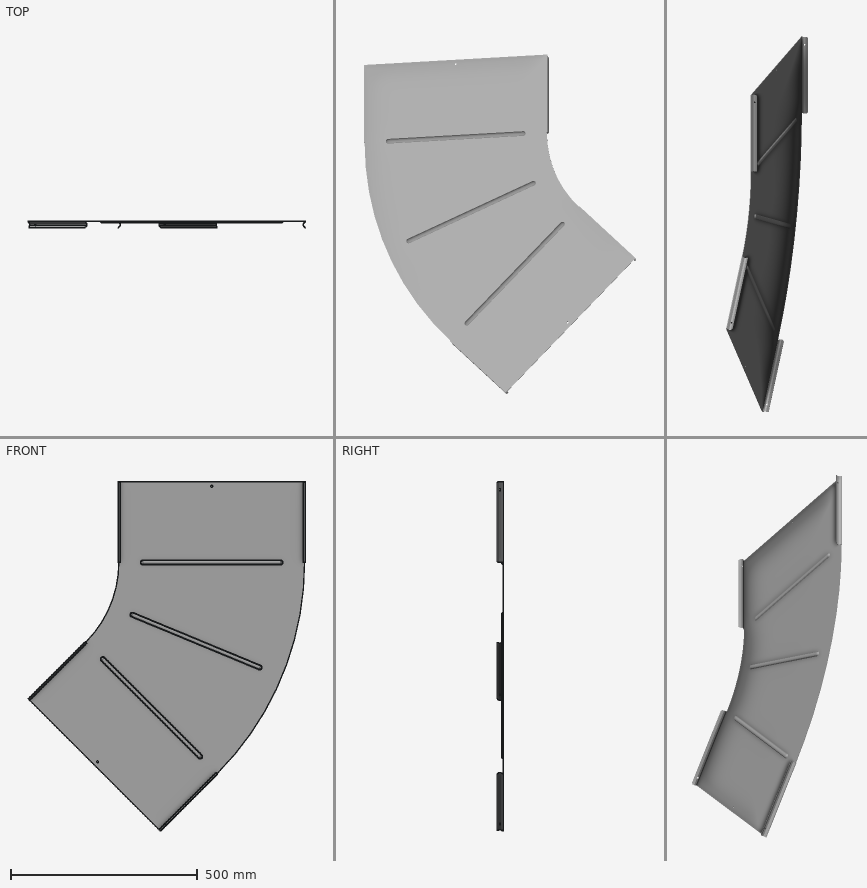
import cadquery as cq
import math


TOTAL_HEIGHT = 937.0
SHEET = 1.4
BEND_ANGLE = 45.0
WIDTH = 502.0
INNER_RADIUS = 300.0
OUTER_RADIUS = INNER_RADIUS + WIDTH
MID_RADIUS = INNER_RADIUS + WIDTH / 2
BEND_SINE = math.sin(math.radians(BEND_ANGLE))
ARM_LENGTH = (TOTAL_HEIGHT - OUTER_RADIUS * BEND_SINE) / (1 + BEND_SINE)
EDGE_RELIEF = 2.0

FLANGE_DEPTH = 18.0
WALL_DEPTH = 2.0
TIP_START = 7.5
TIP_END = 12.0
TIP_INSET = 7.0
LIP_CORNER = 3.0
CLIP_HOLE_DIAMETER = 5.0
CLIP_HOLE_FROM_END = 22.0

BEAD_LENGTH = 382.0
BEAD_WIDTH = 13.0
BEAD_HEIGHT = 4.2
CROWN_WIDTH = 9.0
FLANK_HEIGHT = 3.0
BEAD_COUNT = 3

HOLE_DIAMETER = 5.0
HOLE_FROM_END = 12.0


def front_plane(y):
    """Sketch plane at the given Y, facing -Y, with local axes along X and Z."""
    return cq.Workplane("XZ", origin=(0, y, 0))


def curved_sheet():
    """Ring sector between the two straight arms."""
    inner = INNER_RADIUS + EDGE_RELIEF
    outer = OUTER_RADIUS - EDGE_RELIEF

    def at(radius, angle):
        return radius * math.cos(math.radians(angle)), -radius * math.sin(math.radians(angle))

    return (
        front_plane(0)
        .moveTo(*at(inner, 0))
        .lineTo(*at(outer, 0))
        .threePointArc(at(outer, BEND_ANGLE / 2), at(outer, BEND_ANGLE))
        .lineTo(*at(inner, BEND_ANGLE))
        .threePointArc(at(inner, BEND_ANGLE / 2), at(inner, 0))
        .close()
        .extrude(SHEET)
    )


def clip_flange(edge_x, inward):
    """Folded strip along one straight edge; inward is the X sign towards the sheet."""
    tip_x = edge_x + inward * TIP_INSET
    face = [
        (edge_x, 0),
        (edge_x, -WALL_DEPTH),
        (tip_x - inward * SHEET, -TIP_START),
        (tip_x - inward * SHEET, -TIP_END),
        (edge_x, -FLANGE_DEPTH),
    ]
    other_face = [(x + inward * SHEET, y) for x, y in reversed(face)]
    strip = cq.Workplane("XY").polyline(face + other_face).close().extrude(ARM_LENGTH)

    trimmed_blank = (
        cq.Workplane("YZ", origin=(edge_x, 0, 0))
        .polyline([
            (0, 0),
            (-FLANGE_DEPTH + LIP_CORNER, 0),
            (-FLANGE_DEPTH, LIP_CORNER),
            (-FLANGE_DEPTH, ARM_LENGTH - LIP_CORNER),
            (-FLANGE_DEPTH + LIP_CORNER, ARM_LENGTH),
            (0, ARM_LENGTH),
        ])
        .close()
        .extrude(inward * TIP_INSET)
    )
    hole_depth = -(TIP_START + TIP_END) / 2
    hole = (
        cq.Workplane("YZ", origin=(edge_x, hole_depth, ARM_LENGTH - CLIP_HOLE_FROM_END))
        .circle(CLIP_HOLE_DIAMETER / 2)
        .extrude(inward * TIP_INSET)
    )
    return strip.intersect(trimmed_blank).cut(hole)


def straight_arm():
    """Straight end of the cover with both flanges and the fixing hole."""
    sheet = (
        front_plane(0)
        .center(MID_RADIUS, ARM_LENGTH / 2)
        .rect(WIDTH, ARM_LENGTH)
        .extrude(SHEET)
    )
    hole = (
        front_plane(0)
        .center(MID_RADIUS, ARM_LENGTH - HOLE_FROM_END)
        .circle(HOLE_DIAMETER / 2)
        .extrude(SHEET)
    )
    inner_flange = clip_flange(INNER_RADIUS, 1)
    outer_flange = clip_flange(OUTER_RADIUS, -1)
    return sheet.cut(hole).union(inner_flange).union(outer_flange)


def bead_body(base_y):
    """Solid bead rising towards -Y from base_y, on the upper end of the bend."""
    half_width = BEAD_WIDTH / 2
    half_crown = CROWN_WIDTH / 2
    crown_rise = BEAD_HEIGHT - FLANK_HEIGHT
    crown_radius = (half_crown**2 + crown_rise**2) / (2 * crown_rise)
    half_span = BEAD_LENGTH / 2 - half_width
    start_x = MID_RADIUS - half_span
    end_x = MID_RADIUS + half_span

    bead = (
        cq.Workplane("YZ", origin=(start_x, base_y, 0))
        .moveTo(0, -half_width)
        .lineTo(-FLANK_HEIGHT, -half_crown)
        .threePointArc((-BEAD_HEIGHT, 0), (-FLANK_HEIGHT, half_crown))
        .lineTo(0, half_width)
        .close()
        .extrude(2 * half_span)
    )
    for x in (start_x, end_x):
        dome = (
            cq.Workplane("XY", origin=(x, base_y, 0))
            .moveTo(0, 0)
            .lineTo(half_width, 0)
            .lineTo(half_crown, -FLANK_HEIGHT)
            .radiusArc((0, -BEAD_HEIGHT), crown_radius)
            .close()
            .revolve(360, (0, 0, 0), (0, 1, 0))
        )
        bead = bead.union(dome)
    return bead


def turned(body, angle):
    """Body turned about the bend centre, from the upper arm towards the lower one."""
    return body.rotate((0, 0, 0), (0, 1, 0), angle)


upper_arm = straight_arm()
lower_arm = turned(upper_arm.mirror("XY"), BEND_ANGLE)
result = curved_sheet().union(upper_arm).union(lower_arm)

for index in range(BEAD_COUNT):
    bead_angle = BEND_ANGLE * index / (BEAD_COUNT - 1)
    result = result.union(turned(bead_body(-SHEET), bead_angle))
    result = result.cut(turned(bead_body(0), bead_angle))